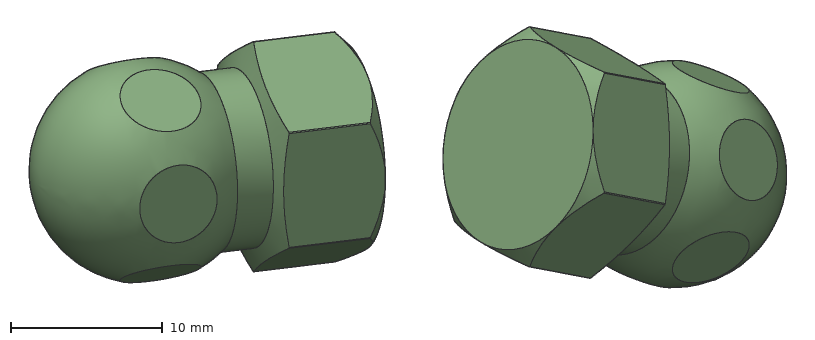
import cadquery as cq
import math

total_length = 22
across_flats = 14.0
corner_diameter = 16.1
ball_radius = 7.5
neck_radius = 6.0
neck_length = 2.5
front_chamfer_length = 0.75

flat_radius = across_flats / 2
corner_radius = corner_diameter / 2
back_chamfer_length = corner_radius - flat_radius
ball_to_neck = math.sqrt(ball_radius**2 - neck_radius**2)
ball_center_y = 0
ball_tip_y = ball_center_y - ball_radius
neck_front_y = ball_center_y + ball_to_neck
nut_front_y = neck_front_y + neck_length
back_y = ball_tip_y + total_length


def turned_body():
    """Ball, neck and chamfered nut blank turned about the Y axis."""
    profile = (
        cq.Workplane("XY")
        .moveTo(0, ball_tip_y)
        .threePointArc((ball_radius, ball_center_y), (neck_radius, neck_front_y))
        .lineTo(neck_radius, nut_front_y)
        .lineTo(corner_radius, nut_front_y + front_chamfer_length)
        .lineTo(corner_radius, back_y - back_chamfer_length)
        .lineTo(flat_radius, back_y)
        .lineTo(0, back_y)
        .close()
    )
    return profile.revolve(360, (0, 0, 0), (0, 1, 0))


def hexagon_bar():
    """Hexagonal bar with flats facing +X and -X and corners at +Z and -Z."""
    return (
        cq.Workplane("XZ", origin=(0, back_y, 0))
        .polygon(6, across_flats, circumscribed=True)
        .extrude(back_y - ball_tip_y)
    )


result = turned_body().intersect(hexagon_bar())